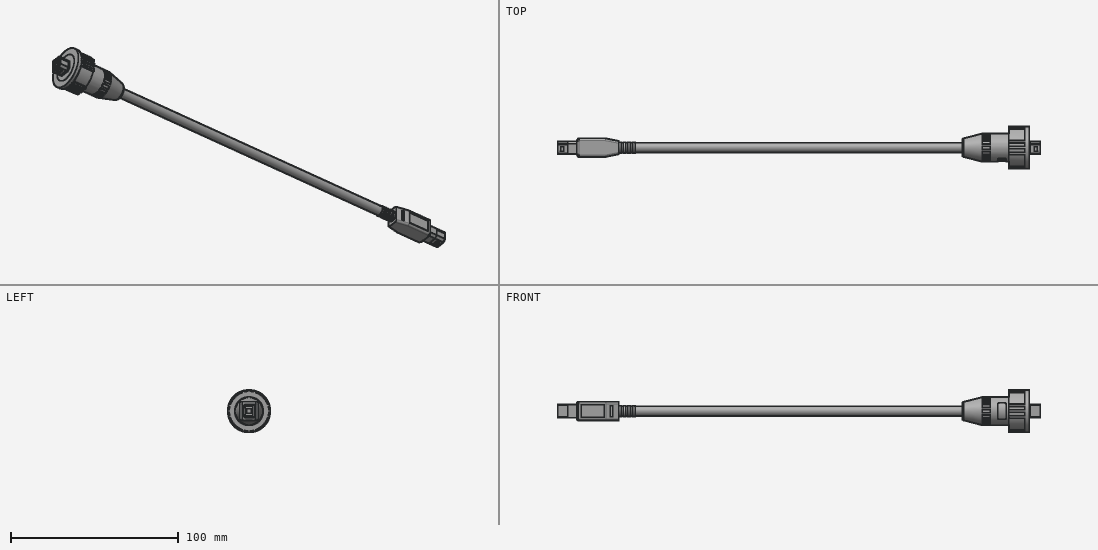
import cadquery as cq


total_length = 287.93

tip_width = 7.78
tip_height = 8.0
tip_corner = 1.6
tip_wall = 0.5
tip_cavity_depth = 6.0
tongue_width = 4.4
tongue_height = 5.8
tongue_slot_width = 2.4
tongue_slot_height = 2.8
latch_length = 1.8
latch_width = 2.8
latch_inset = 2.7
latch_offset_y = -0.8

grip_start = 11.4
grip_end = 36.6
grip_width = 11.2
grip_height = 11.4
grip_nose_length = 1.0
grip_nose_inset = 1.5
grip_taper_start = 28.6
grip_end_width = 8.0
grip_rounding = 1.3
panel_start = 14.0
panel_end = 27.8
panel_height = 7.6
panel_depth = 0.3
thumb_groove_x = 32.2
thumb_groove_width = 1.4
thumb_groove_height = 6.6
thumb_groove_depth = 0.5

relief_end = 46.3
relief_radius = 3.3
relief_groove_depth = 0.3
relief_groove_width = 1.2
relief_groove_count = 3
relief_pitch = 2.7
relief_first_groove = 37.9

cable_radius = 3.0
cable_embed = 1.5

shell_start = 241.2
shell_nose_length = 1.0
shell_nose_radius = 4.9
shell_cone_radius = 5.6
shell_cone_end = 253.4
shell_collar_end = 258.1
shell_radius = 8.5
collar_groove_count = 16
collar_groove_width = 1.9
collar_groove_depth = 0.6
badge_centre_x = 265.0
badge_length = 5.2
badge_height = 9.8
badge_corner = 1.0
badge_depth = 0.4

nut_start = 269.1
nut_grip_end = 278.7
nut_end = 281.3
nut_radius = 12.7
nut_waist_radius = 11.8
nut_rib_groups = 4
nut_rib_spacing = 16.5
nut_rib_width = 1.5


def x_cylinder(start, end, radius):
    """Round bar on the X axis from start to end."""
    return cq.Workplane("YZ", origin=(start, 0, 0)).circle(radius).extrude(end - start)


def x_box(start, end, width, height, y=0.0):
    """Block from start to end along X, centred on y and on Z = 0."""
    return cq.Workplane("YZ", origin=(start, y, 0)).rect(width, height).extrude(end - start)


def usb_tip(length):
    """USB-B tip whose open end is at X = 0 and whose root is at X = length."""
    tip = x_box(0, length, tip_width, tip_height)
    tip = tip.edges("|X and >Y").chamfer(tip_corner)
    cavity = x_box(0, tip_cavity_depth, tip_width - 2 * tip_wall, tip_height - 2 * tip_wall)
    cavity = cavity.edges("|X and >Y").chamfer(tip_corner)
    tongue = x_box(0, tip_cavity_depth, tongue_width, tongue_height)
    slot = x_box(0, tip_cavity_depth, tongue_slot_width, tongue_slot_height)
    latch_holes = (
        cq.Workplane("XY", origin=(latch_inset, latch_offset_y, 0))
        .rect(latch_length, latch_width)
        .extrude(tip_height, both=True)
    )
    shell = tip.cut(cavity).cut(latch_holes)
    return shell.union(tongue.cut(slot))


def grip_half_width(x):
    """Distance from the X axis to the tapered side of the grip at position x."""
    progress = (x - grip_taper_start) / (grip_end - grip_taper_start)
    return (grip_width + progress * (grip_end_width - grip_width)) / 2


def grip_block():
    """Grip with bevelled nose, tapered back and rounded rims at top and bottom."""
    half = grip_width / 2
    upper_side = [
        (grip_start, half - grip_nose_inset),
        (grip_start + grip_nose_length, half),
        (grip_taper_start, half),
        (grip_end, grip_half_width(grip_end)),
    ]
    lower_side = [(x, -y) for x, y in reversed(upper_side)]
    block = (
        cq.Workplane("XY", origin=(0, 0, -grip_height / 2))
        .polyline(upper_side + lower_side)
        .close()
        .extrude(grip_height)
    )
    return block.faces("|Z").edges("not >X").fillet(grip_rounding)


def strain_relief():
    """Sleeve behind the grip, with ring grooves around it."""
    sleeve = x_cylinder(grip_end, relief_end, relief_radius)
    for index in range(relief_groove_count):
        groove_start = relief_first_groove + index * relief_pitch
        groove_end = groove_start + relief_groove_width
        ring = x_cylinder(groove_start, groove_end, 2 * relief_radius)
        core = x_cylinder(groove_start, groove_end, relief_radius - relief_groove_depth)
        sleeve = sleeve.cut(ring.cut(core))
    return sleeve


def make_plain_plug():
    """Grip with its side panels, thumb grooves, USB-B tip and strain relief."""
    plug = grip_block()
    for side in (1, -1):
        panel = x_box(panel_start, panel_end, 2 * panel_depth, panel_height, y=side * grip_width / 2)
        thumb_groove = x_box(
            thumb_groove_x - thumb_groove_width / 2,
            thumb_groove_x + thumb_groove_width / 2,
            2 * thumb_groove_depth,
            thumb_groove_height,
            y=side * grip_half_width(thumb_groove_x),
        )
        plug = plug.cut(panel).cut(thumb_groove)
    return plug.union(usb_tip(grip_start)).union(strain_relief())


def make_sealed_plug():
    """Backshell with its collar, badge recess and USB-B tip."""
    outline = [
        (shell_start, 0),
        (shell_start, shell_nose_radius),
        (shell_start + shell_nose_length, shell_cone_radius),
        (shell_cone_end, shell_radius),
        (nut_end, shell_radius),
        (nut_end, 0),
    ]
    body = cq.Workplane("XY").polyline(outline).close().revolve(360, (0, 0, 0), (1, 0, 0))
    collar_groove = x_box(
        shell_cone_end, shell_collar_end, 2 * collar_groove_depth, collar_groove_width, y=shell_radius
    )
    for index in range(collar_groove_count):
        angle = index * 360 / collar_groove_count
        body = body.cut(collar_groove.rotate((0, 0, 0), (1, 0, 0), angle))
    badge = (
        cq.Workplane("XZ", origin=(badge_centre_x, 0, 0))
        .rect(badge_length, badge_height)
        .extrude(2 * shell_radius)
        .edges("|Y")
        .fillet(badge_corner)
    )
    badge_floor = x_cylinder(shell_collar_end, nut_start, shell_radius - badge_depth)
    body = body.cut(badge.cut(badge_floor))
    tip = usb_tip(total_length - nut_end).mirror("YZ").translate((total_length, 0, 0))
    return body.union(tip)


def make_nut():
    """Nut with a flange at its open end and groups of grip ribs on its waist."""
    nut = x_cylinder(nut_start, nut_grip_end, nut_waist_radius)
    nut = nut.union(x_cylinder(nut_grip_end, nut_end, nut_radius))
    rib = x_box(nut_start, nut_grip_end, nut_radius, nut_rib_width, y=nut_radius / 2)
    for group in range(nut_rib_groups):
        for step in (-1, 0, 1):
            angle = group * 360 / nut_rib_groups + step * nut_rib_spacing
            nut = nut.union(rib.rotate((0, 0, 0), (1, 0, 0), angle))
    nut = nut.intersect(x_cylinder(nut_start, nut_end, nut_radius))
    return nut.cut(x_cylinder(nut_start, nut_end, shell_radius))


cable_start = relief_end - cable_embed
cable_end = shell_start + cable_embed
cable = x_cylinder(cable_start, cable_end, cable_radius)
plain_plug = make_plain_plug().cut(cable)
sealed_plug = make_sealed_plug().cut(cable)
nut = make_nut()

result = cq.Compound.makeCompound([plain_plug.val(), cable.val(), sealed_plug.val(), nut.val()])